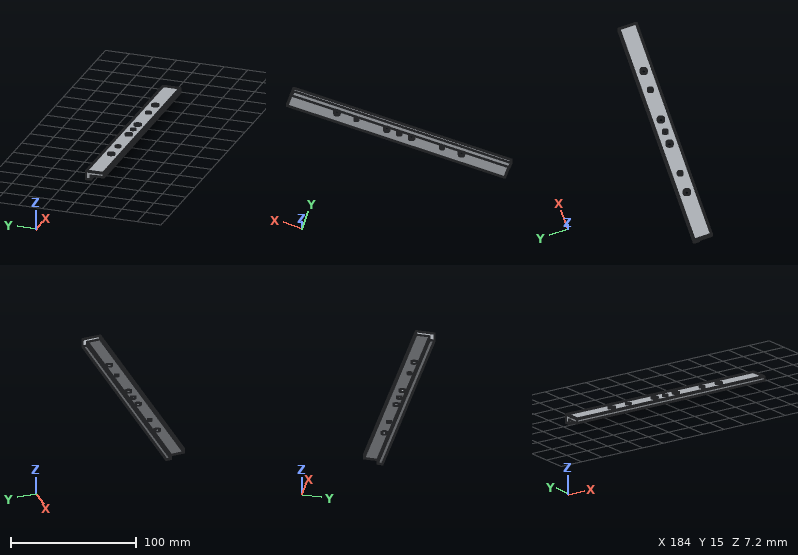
import cadquery as cq

length = 184.0
width = 15.0
height = 7.2

plate_thickness = 3.7
lip_width = 4.0
edge_chamfer = 0.5

large_hole_diameter = 4.5
small_hole_diameter = 3.1
centre_hole_diameter = 3.7
hole_chamfer = 0.4
outer_large_offset = 52.6
inner_large_offset = 10.5
small_offset = 36.2


def make_strip():
    """Plate with its lip, chamfered around the top face."""
    plate = cq.Workplane("XY").box(length, width, plate_thickness, centered=(True, True, False))
    plate = plate.translate((0, 0, height - plate_thickness))
    lip = cq.Workplane("XY").box(length, lip_width, height, centered=(True, True, False))
    lip = lip.translate((0, (width - lip_width) / 2, 0))
    return plate.union(lip).faces(">Z").edges().chamfer(edge_chamfer)


def drill(body, diameter, x_positions, chamfer=0):
    """Drill through holes on the centre line, optionally chamfered at the top face."""
    centres = [(x, 0) for x in x_positions]
    bore = cq.Workplane("XY").pushPoints(centres).circle(diameter / 2).extrude(height)
    drilled = body.cut(bore)
    if chamfer == 0:
        return drilled
    flare = (
        cq.Workplane("XY", origin=(0, 0, height))
        .pushPoints(centres)
        .circle(diameter / 2 + chamfer)
        .extrude(-chamfer, taper=45)
    )
    return drilled.cut(flare)


result = make_strip()
for offset in (outer_large_offset, inner_large_offset):
    result = drill(result, large_hole_diameter, (-offset, offset), hole_chamfer)
result = drill(result, small_hole_diameter, (-small_offset, small_offset), hole_chamfer)
result = drill(result, centre_hole_diameter, (0,))